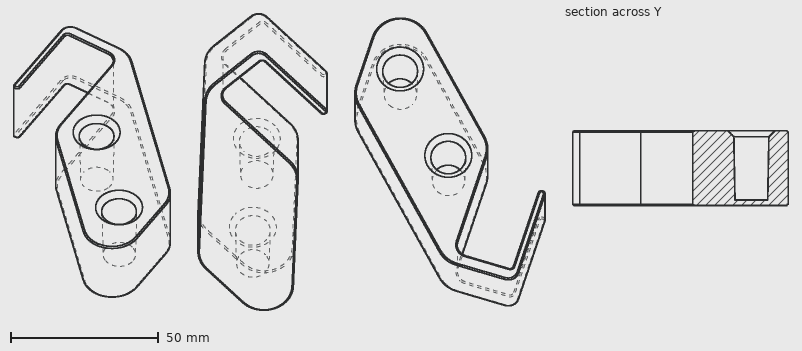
import cadquery as cq
import math

height = 25.4
width = 73.0
length = 80.34
edge_chamfer = 0.5

leg_thickness = 2.4
leg_length = 34.5
leg_tip_radius = 1.1
bridge_thickness = 4.2
body_left = 23.0
hook_outer_radius = 3.7
hook_inner_radius = 1.2
throat_radius = 4.0

body_radius = 10.0
top_edge_length = 25.0

hole_diameter = 11.8
floor_diameter = 11.0
sink_diameter = 15.9
sink_depth = (sink_diameter - hole_diameter) / 2
hole_floor = 2.0
first_hole_x = 35.5
first_hole_y = -37.0
hole_step = 25.0
hole_count = 2

tip_center_x = width - body_radius
tip_center_y = body_radius - length
lower_edge_sum = tip_center_x + tip_center_y - body_radius * math.sqrt(2)


def round_corners(body, corners):
    """Fillet the vertical edge at each (x, y, radius) corner."""
    for x, y, radius in corners:
        nearest = cq.selectors.NearestToPointSelector((x, y, height / 2))
        body = body.edges("|Z").edges(nearest).fillet(radius)
    return body


def make_body():
    """Hook and slanted slab as one plate, with its rims chamfered."""
    rounded_corners = [
        (0, 0, hook_outer_radius),
        (top_edge_length, 0, body_radius),
        (width, top_edge_length - width, body_radius),
        (width, lower_edge_sum - width, body_radius),
        (body_left, lower_edge_sum - body_left, body_radius),
        (body_left, -bridge_thickness, throat_radius),
        (leg_thickness, -bridge_thickness, hook_inner_radius),
        (leg_thickness, -leg_length, leg_tip_radius),
        (0, -leg_length, leg_tip_radius),
    ]
    outline = [(x, y) for x, y, _ in rounded_corners]
    body = cq.Workplane("XY").polyline(outline).close().extrude(height)
    body = round_corners(body, rounded_corners)
    return body.faces("<Z or >Z").chamfer(edge_chamfer)


def make_hole():
    """Cutter for one hole on the Z axis: tapered shaft below a 45 degree countersink."""
    profile = [
        (0, hole_floor),
        (floor_diameter / 2, hole_floor),
        (hole_diameter / 2, height - sink_depth),
        (sink_diameter / 2, height),
        (0, height),
    ]
    return cq.Workplane("XZ").polyline(profile).close().revolve(360, (0, 0), (0, 1))


result = make_body()
for index in range(hole_count):
    shift = index * hole_step
    result = result.cut(make_hole().translate((first_hole_x + shift, first_hole_y - shift, 0)))